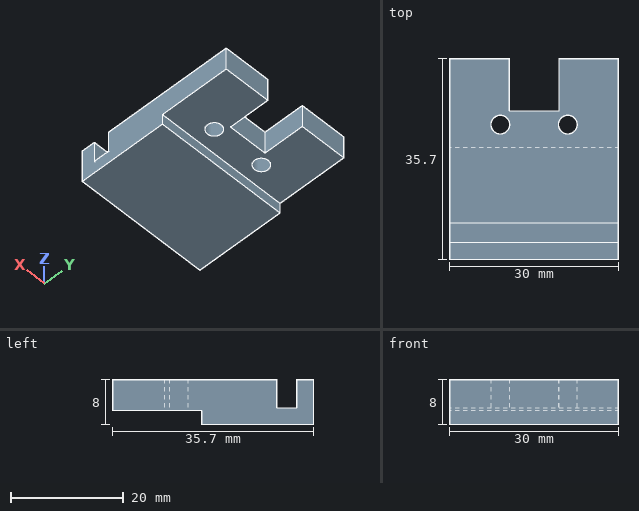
import cadquery as cq

width = 30.0
length = 35.7
height = 8.0

lip_thickness = 3.0
groove_width = 3.5
groove_depth = 5.0
foot_length = 19.9
foot_height = 2.5

notch_width = 8.8
notch_depth = 9.25
hole_diameter = 3.3
hole_spacing = 12.0
hole_from_back = 11.7

groove_back = lip_thickness + groove_width
groove_floor = height - groove_depth


def make_body():
    """Extrude the stepped side profile across the width, centred on X = 0."""
    profile = [
        (0, 0),
        (foot_length, 0),
        (foot_length, foot_height),
        (length, foot_height),
        (length, height),
        (groove_back, height),
        (groove_back, groove_floor),
        (lip_thickness, groove_floor),
        (lip_thickness, height),
        (0, height),
    ]
    return cq.Workplane("YZ").polyline(profile).close().extrude(width / 2, both=True)


def make_notch():
    """Full-height rectangular opening in the middle of the back edge."""
    return (
        cq.Workplane("XY")
        .center(0, length - notch_depth / 2)
        .rect(notch_width, notch_depth)
        .extrude(height)
    )


def make_holes():
    """Pair of vertical through holes in front of the notch."""
    hole_y = length - hole_from_back
    centres = [(side * hole_spacing / 2, hole_y) for side in (-1, 1)]
    return cq.Workplane("XY").pushPoints(centres).circle(hole_diameter / 2).extrude(height)


result = make_body().cut(make_notch()).cut(make_holes())